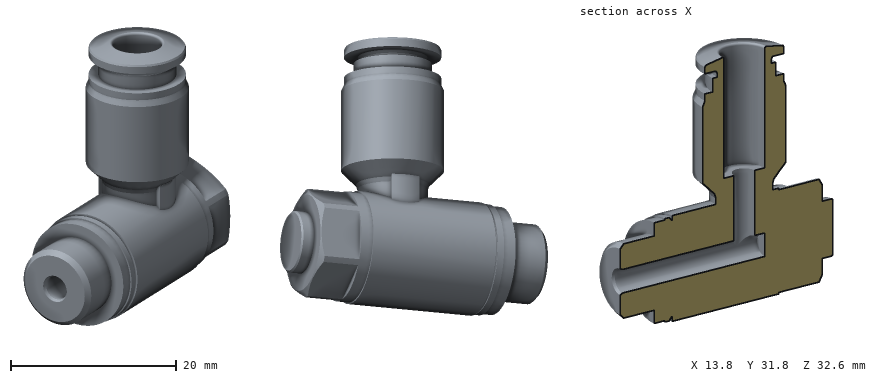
import cadquery as cq
import math


BARREL_DIA = 13.8
CAP_DIA = 7.5
HEX_CORNER_DIA = 13.4
SHOULDER_DIA = HEX_CORNER_DIA
HEX_FLATS = 11.95
HEX_FACE_DIA = 11.7
HEX_BEVEL_ANGLE = 30
GROOVE_DIA = 12.5
GROOVE_FRONT_DIA = 13.15
SEAL_DIA = 13.5
FLANGE_DIA = 13.15
SPIGOT_DIA = 9.7
SPIGOT_FACE_DIA = 8.55

CAP_END = 13.25
CAP_CHAMFER = 0.2
HEX_BACK = 11.65
HEX_FRONT = 6.65
BARREL_BACK = 5.15
BARREL_FRONT = -10.75
SEAL_BACK = -11.05
SEAL_FRONT = -11.87
FLANGE_FRONT = -13.43
SPIGOT_END = CAP_END - 31.75
SPIGOT_CHAMFER = 0.55

NECK_DIA = 8.55
CONE_FOOT_DIA = 8.9
SOCKET_DIA = 12.5
COLLAR_DIA = 11.8
SLEEVE_DIA = 9.5
GROOVE_NECK_DIA = 8.1
BUTTON_FOOT_DIA = 8.48
BUTTON_DIA = 11.8
BUTTON_EDGE_DIA = 11.55

NECK_TOP = 7.65
CONE_FOOT = 8.2
CONE_TOP = 10.0
SOCKET_TOP = 19.92
COLLAR_BASE = 20.67
COLLAR_TOP = 21.58
SLEEVE_TOP = 23.35
GROOVE_CONE_BASE = 23.75
BUTTON_BASE = 24.12
BUTTON_RIM = 25.05
BUTTON_EDGE = 25.25
TOTAL_HEIGHT = 32.6
TOP = TOTAL_HEIGHT - BARREL_DIA / 2

RIB_DIA = 9.5
RIB_WIDTH = 3.6
RIB_TOP = 8.48

PASSAGE_DIA = 3.0
PASSAGE_MOUTH_DIA = 3.4
PASSAGE_MOUTH_DEPTH = 0.35
PASSAGE_END = 3.0
TUBE_BORE_DIA = 6.0
TUBE_MOUTH_RADIUS = 0.3
TUBE_MOUTH_DIA = TUBE_BORE_DIA + 2 * TUBE_MOUTH_RADIUS
TUBE_BORE_FLOOR = CONE_TOP


def revolve_z(stations):
    """Turn (diameter, height) stations about the Z axis."""
    first_height = stations[0][1]
    last_height = stations[-1][1]
    profile = [(0, first_height)]
    profile += [(diameter / 2, height) for diameter, height in stations]
    profile += [(0, last_height)]
    return cq.Workplane("XZ").polyline(profile).close().revolve(360, (0, 0), (0, 1))


def revolve_y(stations):
    """Turn (diameter, position) stations about the Y axis."""
    return revolve_z(stations).rotate((0, 0, 0), (1, 0, 0), -90)


def make_barrel():
    return revolve_y([
        (CAP_DIA - 2 * CAP_CHAMFER, CAP_END),
        (CAP_DIA, CAP_END - CAP_CHAMFER),
        (CAP_DIA, HEX_FRONT),
        (SHOULDER_DIA, HEX_FRONT),
        (SHOULDER_DIA, BARREL_BACK),
        (BARREL_DIA, BARREL_BACK),
        (BARREL_DIA, BARREL_FRONT),
        (GROOVE_DIA, BARREL_FRONT),
        (GROOVE_FRONT_DIA, SEAL_BACK),
        (SEAL_DIA, SEAL_BACK),
        (SEAL_DIA, SEAL_FRONT),
        (FLANGE_DIA, SEAL_FRONT),
        (FLANGE_DIA, FLANGE_FRONT),
        (SPIGOT_DIA, FLANGE_FRONT),
        (SPIGOT_DIA, SPIGOT_END + SPIGOT_CHAMFER),
        (SPIGOT_FACE_DIA, SPIGOT_END),
    ])


def make_hex():
    """Hexagon with two flats facing +X and -X, rounded corners and a bevelled back."""
    across_corners = HEX_FLATS / math.cos(math.radians(30))
    prism = (
        cq.Workplane("XZ", origin=(0, HEX_BACK, 0))
        .transformed(rotate=(0, 0, 30))
        .polygon(6, across_corners)
        .extrude(HEX_BACK - HEX_FRONT)
    )
    bevel_depth = (HEX_CORNER_DIA - HEX_FACE_DIA) / 2 * math.tan(math.radians(HEX_BEVEL_ANGLE))
    envelope = revolve_y([
        (HEX_FACE_DIA, HEX_BACK),
        (HEX_CORNER_DIA, HEX_BACK - bevel_depth),
        (HEX_CORNER_DIA, HEX_FRONT),
    ])
    return prism.intersect(envelope)


def make_socket():
    return revolve_z([
        (NECK_DIA, 0),
        (NECK_DIA, NECK_TOP),
        (CONE_FOOT_DIA, CONE_FOOT),
        (SOCKET_DIA, CONE_TOP),
        (SOCKET_DIA, SOCKET_TOP),
        (COLLAR_DIA, COLLAR_BASE),
        (COLLAR_DIA, COLLAR_TOP),
        (SLEEVE_DIA, COLLAR_TOP),
        (SLEEVE_DIA, SLEEVE_TOP),
        (GROOVE_NECK_DIA, SLEEVE_TOP),
        (GROOVE_NECK_DIA, GROOVE_CONE_BASE),
        (BUTTON_FOOT_DIA, BUTTON_BASE),
        (BUTTON_DIA, BUTTON_BASE),
        (BUTTON_DIA, BUTTON_RIM),
        (BUTTON_EDGE_DIA, BUTTON_EDGE),
        (TUBE_MOUTH_DIA, TOP),
    ])


def make_ribs():
    """Round-faced ribs on the +X and -X sides of the neck."""
    slab = cq.Workplane("XY").rect(RIB_DIA, RIB_WIDTH).extrude(RIB_TOP)
    return cq.Workplane("XY").circle(RIB_DIA / 2).extrude(RIB_TOP).intersect(slab)


def make_tube_bore():
    """Tube bore with a rounded mouth, leading down into the passage."""
    bore_radius = TUBE_BORE_DIA / 2
    mouth_radius = TUBE_MOUTH_DIA / 2
    bore = (
        cq.Workplane("XZ")
        .moveTo(0, TUBE_BORE_FLOOR)
        .lineTo(bore_radius, TUBE_BORE_FLOOR)
        .lineTo(bore_radius, TOP - TUBE_MOUTH_RADIUS)
        .radiusArc((mouth_radius, TOP), TUBE_MOUTH_RADIUS)
        .lineTo(0, TOP)
        .close()
        .revolve(360, (0, 0), (0, 1))
    )
    passage = cq.Workplane("XY").circle(PASSAGE_DIA / 2).extrude(TUBE_BORE_FLOOR)
    return bore.union(passage)


def make_spigot_bore():
    """Blind passage along Y, ending beyond the tube passage."""
    return revolve_y([
        (PASSAGE_MOUTH_DIA, SPIGOT_END),
        (PASSAGE_DIA, SPIGOT_END + PASSAGE_MOUTH_DEPTH),
        (PASSAGE_DIA, PASSAGE_END),
    ])


body = make_barrel().union(make_hex()).union(make_socket()).union(make_ribs())
result = body.cut(make_tube_bore()).cut(make_spigot_bore())